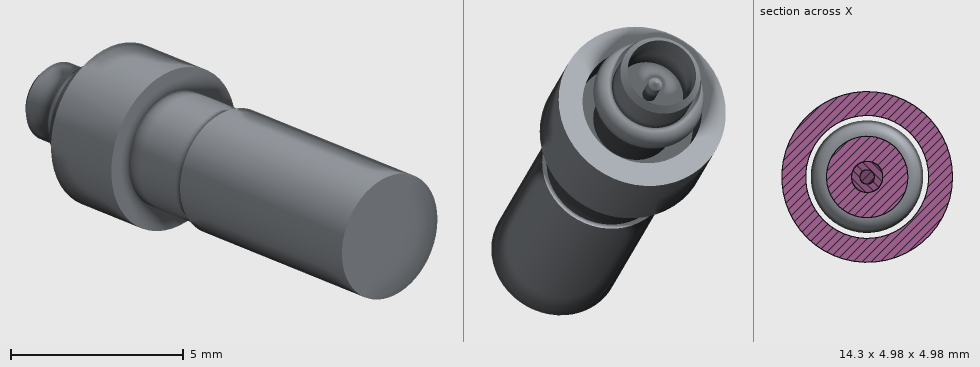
import cadquery as cq

total_length = 14.34
snap_ridge_x = 1.76
collar_front_x = 2.64
collar_back_x = 5.19
barrel_start_x = 7.49
recess_depth = 1.22
bore_depth = 1.72
pin_tip_x = 0.69
pin_cone_length = 0.2
nose_chamfer_length = 0.2

nose_radius = 1.19
bore_radius = 1.02
collar_diameter = 4.98
collar_radius = collar_diameter / 2
neck_radius = 1.78
recess_radius = neck_radius
barrel_radius = 1.91
ridge_section_radius = 0.43
ridge_center_radius = 1.2
pin_radius = 0.2
insulator_radius = 0.45


def cylinder(start_x, end_x, radius):
    """Solid cylinder on the X axis between two axial positions."""
    length = end_x - start_x
    return cq.Workplane("YZ", origin=(start_x, 0, 0)).circle(radius).extrude(length)


def make_nose():
    """Front tube, still solid, tapering down to a sharp rim at the bore."""
    return (
        cq.Workplane("XY")
        .moveTo(0, 0)
        .lineTo(0, bore_radius)
        .lineTo(nose_chamfer_length, nose_radius)
        .lineTo(collar_back_x, nose_radius)
        .lineTo(collar_back_x, 0)
        .close()
        .revolve(360, (0, 0), (1, 0))
    )


def make_snap_ridge():
    """Round-section ridge around the nose."""
    return (
        cq.Workplane("XY", origin=(snap_ridge_x, 0, 0))
        .center(0, ridge_center_radius)
        .circle(ridge_section_radius)
        .revolve(360, (0, -ridge_center_radius), (1, -ridge_center_radius))
    )


def make_shell():
    """Stepped shell with a collar recess, a front bore and a hole for the insulator."""
    collar = cylinder(collar_front_x, collar_back_x, collar_radius)
    recess = cylinder(collar_front_x, collar_front_x + recess_depth, recess_radius)
    neck = cylinder(collar_back_x, barrel_start_x, neck_radius)
    barrel = cylinder(barrel_start_x, total_length, barrel_radius)
    outside = collar.cut(recess).union(make_nose()).union(make_snap_ridge()).union(neck).union(barrel)

    bore = cylinder(0, bore_depth, bore_radius)
    insulator_hole = cylinder(bore_depth, total_length, insulator_radius)
    return outside.cut(bore).cut(insulator_hole)


def make_insulator():
    """Sleeve between the shell and the pin, flush with the bore floor."""
    pin_hole = cylinder(bore_depth, total_length, pin_radius)
    return cylinder(bore_depth, total_length, insulator_radius).cut(pin_hole)


def make_pin():
    """Contact pin on the axis, with a conical point inside the bore."""
    return (
        cq.Workplane("XY")
        .moveTo(pin_tip_x, 0)
        .lineTo(pin_tip_x + pin_cone_length, pin_radius)
        .lineTo(total_length, pin_radius)
        .lineTo(total_length, 0)
        .close()
        .revolve(360, (0, 0), (1, 0))
    )


shell = make_shell()
insulator = make_insulator()
pin = make_pin()

result = cq.Compound.makeCompound([shell.val(), insulator.val(), pin.val()])